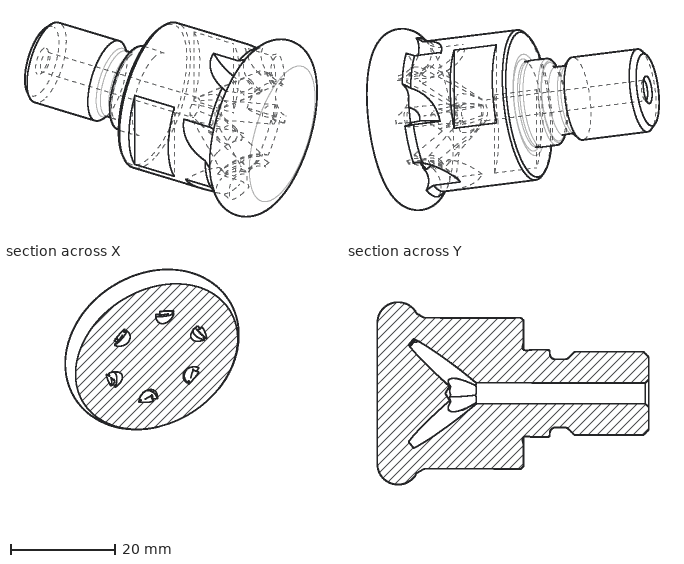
import cadquery as cq
import math

length = 52.0
ring_outer_diameter = 35.0
ring_tube_radius = 4.0
ring_center_radius = ring_outer_diameter / 2 - ring_tube_radius
ring_mid_x = length - ring_tube_radius

shank_radius = 8.0
shank_chamfer = 1.05
neck_radius = 6.55
neck_start_x = 15.65
neck_fillet = 1.05
shank_end_x = neck_start_x - (shank_radius - neck_radius)

collar_x = 18.9
collar_radius = 8.35
collar_round = 0.45
collar_end_x = 22.4

relief_radius = 8.25
relief_start_x = 23.15
relief_depth = 0.2
relief_fillet = 0.6
relief_outer_radius = 9.75

body_x = 23.95
body_radius = 14.5
body_chamfer = 0.5
flare_x = 43.0
flare_length = 2.35
flare_angle = 30

flat_x = 26.5
flat_length = 8.5
flat_half_width = 12.05

notch_count = 6
notch_wall_offset = 0.75
scoop_radius = 11.6
scoop_x = 47.35
scoop_height = 20.75

bore_radius = 2.0
bore_chamfer = 0.7
bore_depth = 37.75
drill_point_angle = 118
outlet_radius = 1.85
outlet_lean = 40
outlet_turn = 10.0
outlet_x = 45.35
outlet_height = 9.9


def turned_body():
    """Shank, neck, collar, relief groove, body and flare, closed off by the flat end disc."""
    diagonal = math.sqrt(0.5)
    fillet_mid = math.radians(22.5)
    tangent = neck_fillet * math.tan(fillet_mid)
    fillet_axis_x = neck_start_x + tangent
    groove_end_x = body_x + relief_depth - relief_fillet
    flare_rise = flare_length * math.tan(math.radians(flare_angle))
    profile = (
        cq.Workplane("XY")
        .moveTo(0, 0)
        .lineTo(0, shank_radius - shank_chamfer)
        .lineTo(shank_chamfer, shank_radius)
        .lineTo(shank_end_x, shank_radius)
        .lineTo(neck_start_x - tangent * diagonal, neck_radius + tangent * diagonal)
        .threePointArc(
            (
                fillet_axis_x - neck_fillet * math.sin(fillet_mid),
                neck_radius + neck_fillet * (1 - math.cos(fillet_mid)),
            ),
            (fillet_axis_x, neck_radius),
        )
        .lineTo(collar_x - neck_fillet, neck_radius)
        .radiusArc((collar_x, neck_radius + neck_fillet), -neck_fillet)
        .lineTo(collar_x, collar_radius - collar_round)
        .radiusArc((collar_x + collar_round, collar_radius), collar_round)
        .lineTo(collar_end_x, collar_radius)
        .lineTo(relief_start_x, relief_radius)
        .lineTo(groove_end_x, relief_radius)
        .radiusArc((body_x + relief_depth, relief_radius + relief_fillet), -relief_fillet)
        .lineTo(body_x, relief_outer_radius)
        .lineTo(body_x, body_radius - body_chamfer)
        .lineTo(body_x + body_chamfer, body_radius)
        .lineTo(flare_x, body_radius)
        .lineTo(flare_x + flare_length, body_radius + flare_rise)
        .lineTo(ring_mid_x, ring_center_radius)
        .lineTo(length, ring_center_radius)
        .lineTo(length, 0)
        .close()
    )
    return profile.revolve(360, (0, 0, 0), (1, 0, 0))


def wrench_flats():
    """Two blocks that leave parallel flats on the -Y and +Y sides of the body."""
    block_depth = body_radius
    flats = cq.Workplane("XY")
    for side in (-1, 1):
        center_y = side * (flat_half_width + block_depth / 2)
        flats = flats.union(
            cq.Workplane("XY")
            .box(flat_length, block_depth, 2 * body_radius)
            .translate((flat_x + flat_length / 2, center_y, 0))
        )
    return flats


def scoop():
    """Half ball with its flat side facing +Y, ending at the middle plane of the ring."""
    ball = cq.Workplane("XY").sphere(scoop_radius).translate((scoop_x, -notch_wall_offset, scoop_height))
    keep_size = 4 * scoop_radius
    keep = (
        cq.Workplane("XY")
        .box(keep_size, keep_size, keep_size)
        .translate((ring_mid_x - keep_size / 2, -notch_wall_offset - keep_size / 2, scoop_height))
    )
    return ball.intersect(keep)


def outlet():
    """Air outlet branching from the axis, leaning forward and opening into the notch floor."""
    lean = math.radians(outlet_lean)
    start = cq.Vector(outlet_x - outlet_height / math.tan(lean), 0, 0)
    direction = cq.Vector(math.cos(lean), 0, math.sin(lean))
    passage = cq.Solid.makeCylinder(outlet_radius, outlet_height / math.sin(lean), start, direction)
    return cq.Workplane("XY").add(passage).rotate((0, 0, 0), (1, 0, 0), outlet_turn)


def bore():
    """Central blind bore with a chamfered mouth and a drill point."""
    point_length = bore_radius / math.tan(math.radians(drill_point_angle / 2))
    profile = (
        cq.Workplane("XY")
        .moveTo(0, 0)
        .lineTo(0, bore_radius + bore_chamfer)
        .lineTo(bore_chamfer, bore_radius)
        .lineTo(bore_depth, bore_radius)
        .lineTo(bore_depth + point_length, 0)
        .close()
    )
    return profile.revolve(360, (0, 0, 0), (1, 0, 0))


def ring():
    """Round rim around the end of the body."""
    return (
        cq.Workplane("XY")
        .center(ring_mid_x, ring_center_radius)
        .circle(ring_tube_radius)
        .revolve(360, (0, -ring_center_radius, 0), (1, -ring_center_radius, 0))
    )


def around_axis(shape):
    """Copies of a shape, one for each notch, spaced evenly about the X axis."""
    step = 360 / notch_count
    return [shape.rotate((0, 0, 0), (1, 0, 0), index * step) for index in range(notch_count)]


result = turned_body().cut(wrench_flats()).cut(bore())
for cutter in around_axis(scoop()) + around_axis(outlet()):
    result = result.cut(cutter)

result = result.union(ring())